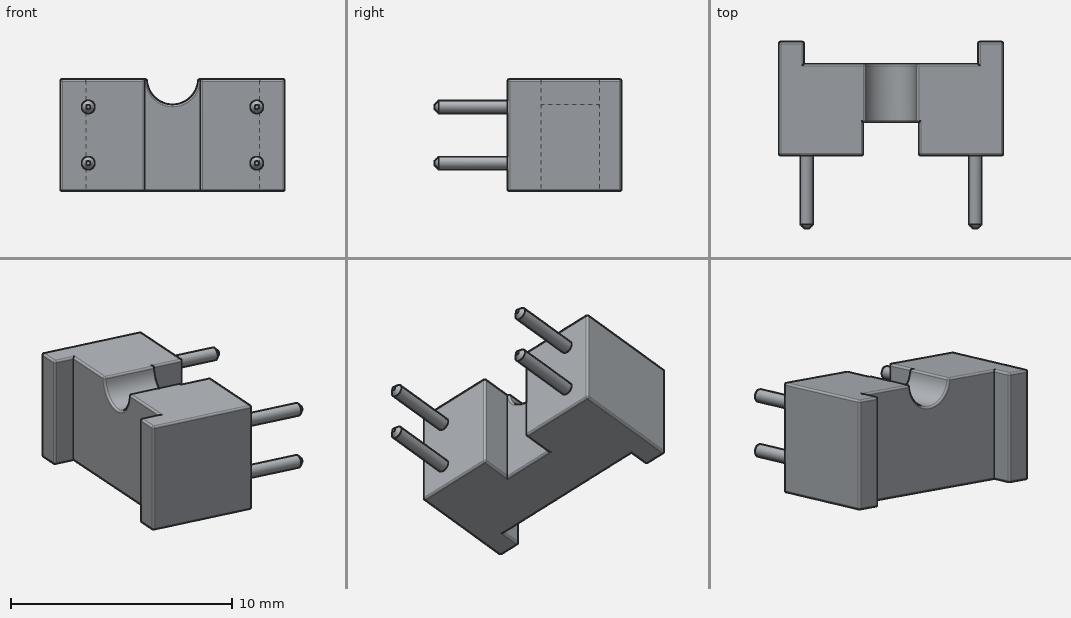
import cadquery as cq

width = 10.16
height = 5.08
overall_depth = 8.46
pin_length = 3.3
depth = overall_depth - pin_length

ear_width = 1.15
ear_depth = 1.0
slot_width = 2.5
slot_depth = 1.5

edge_radius = 0.1
channel_radius = slot_width / 2 - edge_radius

pin_diameter = 0.6
pin_tip_diameter = 0.2
pin_tip_length = 0.2
pin_spacing_x = 7.62
pin_spacing_z = 2.54


def make_blank():
    """Block with a front slot and a rear recess between two ears."""
    half_width = width / 2
    half_slot = slot_width / 2
    half_recess = half_width - ear_width
    recess_y = depth - ear_depth
    outline = [
        (-half_width, 0),
        (-half_slot, 0),
        (-half_slot, slot_depth),
        (half_slot, slot_depth),
        (half_slot, 0),
        (half_width, 0),
        (half_width, depth),
        (half_recess, depth),
        (half_recess, recess_y),
        (-half_recess, recess_y),
        (-half_recess, depth),
        (-half_width, depth),
    ]
    return (
        cq.Workplane("XY")
        .polyline(outline)
        .close()
        .extrude(height)
        .translate((0, 0, -height / 2))
    )


def make_channel():
    """Half-round channel cutter running along Y in the middle of the top face."""
    return (
        cq.Workplane("XZ", origin=(0, 0, height / 2))
        .circle(channel_radius)
        .extrude(-depth)
    )


def make_housing():
    """Housing with every edge rounded except the four inner upright corners."""
    housing = make_blank().cut(make_channel())
    half_slot = slot_width / 2
    half_recess = width / 2 - ear_width
    inner_corners = []
    for side in (-1, 1):
        slot_corner = (side * half_slot, slot_depth, 0)
        recess_corner = (side * half_recess, depth - ear_depth, 0)
        for corner_point in (slot_corner, recess_corner):
            inner_corners.append(housing.edges(cq.NearestToPointSelector(corner_point)).val())
    outer_edges = housing.edges().filter(
        lambda edge: not any(edge.isSame(corner) for corner in inner_corners)
    )
    return outer_edges.fillet(edge_radius)


def make_pin():
    """Round pin with a tapered tip, pointing along -Y from the front face."""
    straight_length = pin_length - pin_tip_length
    profile = [
        (0, 0),
        (pin_diameter / 2, 0),
        (pin_diameter / 2, -straight_length),
        (pin_tip_diameter / 2, -pin_length),
        (0, -pin_length),
    ]
    return cq.Workplane("XY").polyline(profile).close().revolve(360, (0, 0), (0, 1))


result = make_housing()
for side_x in (-1, 1):
    for side_z in (-1, 1):
        pin_place = (side_x * pin_spacing_x / 2, 0, side_z * pin_spacing_z / 2)
        result = result.union(make_pin().translate(pin_place))